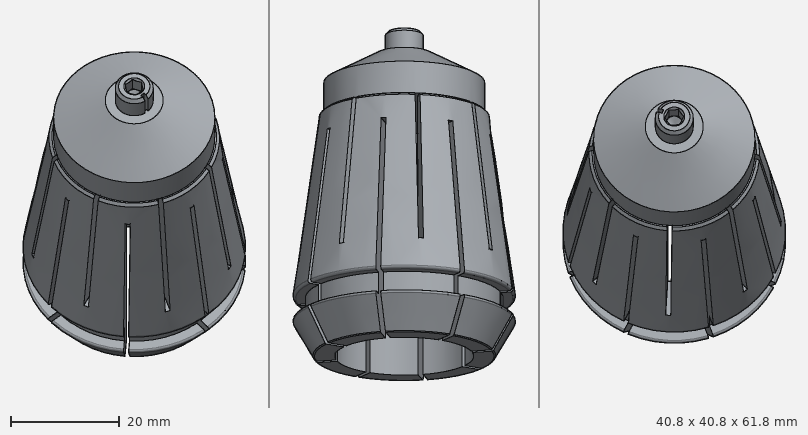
import cadquery as cq
import math

total_height = 61.8
collar_top = 7.0
groove_top = 11.05
body_top = 46.05
neck_top = 52.1
shoulder_height = 57.4

max_radius = 40.85 / 2
groove_radius = 18.2
neck_radius = 29.6 / 2
shoulder_radius = 5.3
body_angle = math.radians(8)
collar_angle = math.radians(30)
body_edge_fillet = 0.5
collar_edge_fillet = 0.4
face_chamfer = 0.2
body_top_chamfer = 0.5

bore_radius = 25.5 / 2
slot_width = 0.9
slot_count = 8
slot_pitch = 360 / slot_count
lower_slot_top = 41.05
upper_slot_floor = 17.1
cut_margin = 0.6
slot_reach = max_radius + cut_margin
upper_slot_inner = bore_radius - cut_margin

screw_radius = 7.0 / 2
screw_chamfer = 0.6
socket_sides = 6
socket_flats = 3.0
socket_depth = 3.1
socket_rim_radius = 1.9
drill_half_angle = math.radians(59)
key_width = 0.75
key_floor = 2.35
screw_core_radius = 6.1 / 2


def rounding_loss(radius, wall_angle):
    """Radius lost when a rim between a flat face and a wall leaning by wall_angle is rounded."""
    corner_angle = math.pi / 2 - wall_angle
    return radius / math.tan(corner_angle / 2) - radius


def revolved(points):
    return cq.Workplane("XZ").polyline(points).close().revolve(360, (0, 0, 0), (0, 1, 0))


def disc(radius, bottom, top):
    return cq.Workplane("XY").workplane(offset=bottom).circle(radius).extrude(top - bottom)


def make_collar():
    sharp_radius = max_radius + rounding_loss(collar_edge_fillet, collar_angle)
    face_edge = sharp_radius - collar_top * math.tan(collar_angle)
    collar = revolved([(0, 0), (face_edge, 0), (sharp_radius, collar_top), (0, collar_top)])
    collar = collar.faces(">Z").edges().fillet(collar_edge_fillet)
    return collar.faces("<Z").edges().chamfer(face_chamfer)


def make_body():
    sharp_radius = max_radius + rounding_loss(body_edge_fillet, body_angle)
    top_radius = sharp_radius - (body_top - groove_top) * math.tan(body_angle)
    body = revolved([(0, groove_top), (sharp_radius, groove_top), (top_radius, body_top), (0, body_top)])
    body = body.faces("<Z").edges().fillet(body_edge_fillet)
    return body.faces(">Z").edges().chamfer(body_top_chamfer)


def make_groove_core():
    return disc(groove_radius, collar_top, groove_top)


def make_tail():
    return revolved([
        (0, body_top), (neck_radius, body_top), (neck_radius, neck_top),
        (shoulder_radius, shoulder_height), (0, shoulder_height),
    ])


def make_screw():
    screw = disc(screw_radius, shoulder_height, total_height)
    return screw.faces(">Z").edges().chamfer(screw_chamfer)


def radial_slots(inner, bottom, top, first_angle):
    """Ring of radial blades from the inner radius out past the envelope."""
    blade = cq.Workplane("XY").box(
        slot_reach - inner, slot_width, top - bottom, centered=(False, True, False)
    ).translate((inner, 0, bottom))
    blades = cq.Workplane("XY")
    for index in range(slot_count):
        blades = blades.add(blade.rotate((0, 0, 0), (0, 0, 1), first_angle + index * slot_pitch))
    return blades.combine()


def make_bore():
    return disc(bore_radius, 0, body_top)


def make_socket():
    """Hexagon socket with a countersunk mouth and a conical drill point."""
    corner_diameter = socket_flats / math.cos(math.pi / socket_sides)
    floor = total_height - socket_depth
    socket_plane = cq.Workplane("XY").workplane(offset=floor)
    hexagon = socket_plane.polygon(socket_sides, corner_diameter).extrude(socket_depth)
    hexagon = hexagon.rotate((0, 0, 0), (0, 0, 1), 180 / socket_sides)
    point_radius = socket_flats / 2
    tip = floor - point_radius / math.tan(drill_half_angle)
    drill_point = revolved([(0, floor), (point_radius, floor), (0, tip)])
    mouth_tip = total_height - socket_rim_radius
    mouth = revolved([(0, total_height), (socket_rim_radius, total_height), (0, mouth_tip)])
    return hexagon.union(drill_point).union(mouth)


def make_keyway():
    """Groove along the screw that continues below the shoulder, within the screw core, into the bore."""
    groove = cq.Workplane("XY").box(
        screw_radius, key_width, total_height - body_top, centered=(False, True, False)
    ).translate((key_floor, 0, body_top))
    core = disc(screw_core_radius, body_top, shoulder_height)
    above_shoulder = disc(neck_radius, shoulder_height, total_height)
    return groove.intersect(core.union(above_shoulder))


collet = make_collar().union(make_groove_core()).union(make_body())
collet = collet.cut(make_bore())
collet = collet.cut(radial_slots(0, 0, lower_slot_top, 0))
collet = collet.cut(radial_slots(upper_slot_inner, upper_slot_floor, body_top, slot_pitch / 2))

tail = make_tail().union(make_screw()).cut(make_socket()).cut(make_keyway())

result = collet.union(tail)